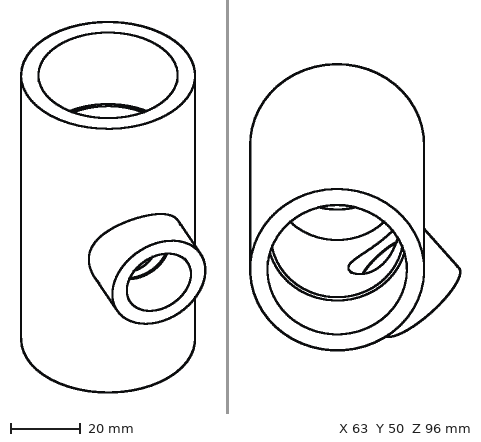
import cadquery as cq

main_length = 96.0
main_outer_diameter = 50.0
main_bore_diameter = 38.0
main_socket_diameter = 40.0
main_socket_depth = 26.0

overall_width = 63.0
branch_outer_diameter = 29.0
branch_bore_diameter = 19.0
branch_socket_diameter = 20.0
branch_socket_depth = 16.0
branch_end_x = overall_width - main_outer_diameter / 2


def main_cylinder(diameter, bottom_z, length):
    """Cylinder on the Z axis, starting at bottom_z."""
    return cq.Workplane("XY", origin=(0, 0, bottom_z)).circle(diameter / 2).extrude(length)


def branch_cylinder(diameter, start_x, length):
    """Cylinder on the X axis, starting at start_x."""
    return cq.Workplane("YZ", origin=(start_x, 0, 0)).circle(diameter / 2).extrude(length)


bottom_z = -main_length / 2
body = main_cylinder(main_outer_diameter, bottom_z, main_length)
body = body.union(branch_cylinder(branch_outer_diameter, 0, branch_end_x))

body = body.cut(main_cylinder(main_bore_diameter, bottom_z, main_length))
for socket_bottom_z in (bottom_z, main_length / 2 - main_socket_depth):
    body = body.cut(main_cylinder(main_socket_diameter, socket_bottom_z, main_socket_depth))

body = body.cut(branch_cylinder(branch_bore_diameter, 0, branch_end_x))
branch_socket_start_x = branch_end_x - branch_socket_depth
body = body.cut(branch_cylinder(branch_socket_diameter, branch_socket_start_x, branch_socket_depth))

result = body